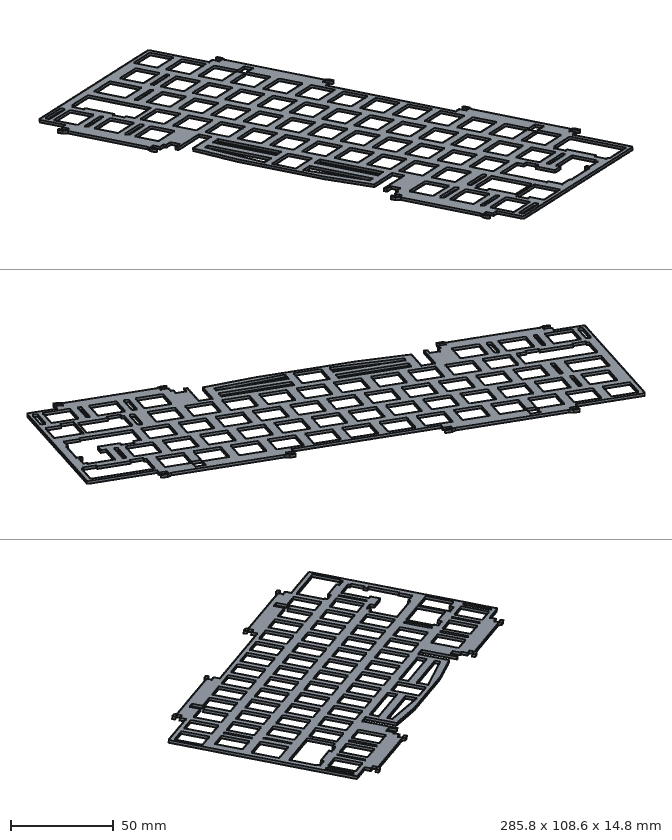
import cadquery as cq

WIDTH = 285.8
COLUMNS = 15
ROWS = 5
PITCH = WIDTH / COLUMNS
DEPTH = ROWS * PITCH
THICKNESS = 1.5
TILT = 7.0
PLATE_CORNER = 1.0

CUT = 14.0
CORNER = 0.5

KEY_RUNS = ((1, 0.5, 13), (2, 0.75, 1), (2, 2, 12), (3, 2.25, 11), (4, 2.75, 10))
BOTTOM_ROW_PLACES = (0.75, 2, 3.25)

SLOT_WIDTH = 1.7
SIDE_SLOT_PLACE = (0.75 + 2) / 2
CAPS_SLOT_PLACE = (0.875 + 2.25) / 2
END_SLOT_WIDTH = 2.5
END_SLOT_ROUNDING = 1.1
BOTTOM_END_SLOT_PLACES = (0.17, (2 + 3.25) / 2)
RIGHT_SHIFT_SLOT_PLACE = 12.55
LEFT_SHIFT_END = 1.75
LEFT_SHIFT_EXTENSION = 1.7

STABILIZER_OFFSET = 12.0
STABILIZER_WIDTH = 7.0
STABILIZER_DROP = 1.5
DEEP_STABILIZER_DROP = 2.0

ENTER_PLACE = 13.875
TALL_ENTER_PLACE = 14.25
ENTER_LEFT = 102.0
ENTER_STABILIZER_RISE = 2.3
ENTER_WIDE_RIGHT = 129.2
ENTER_THROAT = 124.3
ENTER_RIGHT_POCKET = 137.5
ENTER_RIGHT_POCKET_OFFSET = 12.0
ENTER_MIDDLE = 138.3
ENTER_MIDDLE_BACK = 16.3
ENTER_MIDDLE_FRONT = 1.0

TAB_SHOULDER = 3.1
TAB_RISE = 5.7
TAB_ROOT = 3.0
NECK_INSET = 4.0
BACK_TAB = (38.3, 107.2)
FRONT_TAB = (69.2, 127.2)

HOOK_BOTTOM = 5.5
HOOK_TOP = TAB_RISE + 1.3
HOOK_CREST = 3.1
HOOK_REACH = 5.5
HOOK_ROUNDING = 0.43

BACK_SLOT_PLACE = 3
BACK_SLOT_WIDTH = 5.1
BACK_SLOT_REACH = 3.0
BACK_SLOT_LENGTH = 7.0

STEP_OUTER = 67.7
STEP_INNER = 62.3
STEP_END = -43.7
NOTCH_OUTER = 60.5
NOTCH_INNER = 53.5
NOTCH_END = -29.7
TAPER_START = -45.5
MIDDLE_FLAT = 26.0

BAR_INNER = 11.5
BAR_OUTER = 48.5
BAR_BACK = -30.5
BAR_FRONT = -35.1
WEDGE_BACK = -39.5
WEDGE_FRONT_OUTER = -42.0
WEDGE_FRONT_INNER = -45.2


def column(place):
    """X of a place counted in key pitches from the left edge."""
    return place * PITCH - WIDTH / 2


def row(number):
    """Y of the middle of a key row, counted from 1 at the back."""
    return ((ROWS + 1) / 2 - number) * PITCH


def block(x0, x1, y0, y1):
    """Rectangular block as thick as the plate."""
    box = cq.Workplane("XY").box(x1 - x0, y1 - y0, THICKNESS)
    return box.translate(((x0 + x1) / 2, (y0 + y1) / 2, 0))


def prism(points):
    """Block as thick as the plate with the given outline."""
    bottom = cq.Workplane("XY").workplane(offset=-THICKNESS / 2)
    return bottom.polyline(points).close().extrude(THICKNESS)


def mirrored(shape):
    """The shape together with its mirror image in X."""
    return shape.union(shape.mirror("YZ"))



def hook():
    """Hook that starts at X = 0 and joins its tab on the +X side."""
    outline = [
        (0, HOOK_BOTTOM),
        (0, HOOK_TOP),
        (HOOK_CREST, HOOK_TOP),
        (HOOK_REACH, TAB_RISE),
        (HOOK_REACH, HOOK_BOTTOM),
    ]
    return prism(outline).edges("|Z and <X").fillet(HOOK_ROUNDING)


def tab(span):
    """Tab on the right half of the back edge."""
    x0, x1 = span
    edge = DEPTH / 2
    shoulder = block(x0, x1, edge - TAB_ROOT, edge + TAB_SHOULDER)
    neck = block(x0 + NECK_INSET, x1 - NECK_INSET, edge, edge + TAB_RISE)
    inner_hook = hook().translate((x0, edge, 0))
    outer_hook = hook().mirror("YZ").translate((x1, edge, 0))
    return shoulder.union(neck).union(inner_hook).union(outer_hook)


def base_plate():
    back = DEPTH / 2
    front = -back
    body = block(-WIDTH / 2, WIDTH / 2, front, back).edges("|Z").fillet(PLATE_CORNER)
    taper = prism([(MIDDLE_FLAT, front), (NOTCH_INNER, TAPER_START), (NOTCH_INNER, front)])
    notch = block(NOTCH_INNER, NOTCH_OUTER, front, NOTCH_END)
    step = block(STEP_INNER, STEP_OUTER, front, STEP_END)
    body = body.cut(mirrored(taper.union(notch))).cut(mirrored(step))
    return body.union(mirrored(tab(BACK_TAB))).union(mirrored(tab(FRONT_TAB).mirror("XZ")))



def opening(x0, x1, row_number, radius=CORNER):
    """Opening as tall as a switch, centred on a row."""
    y = row(row_number)
    return block(x0, x1, y - CUT / 2, y + CUT / 2).edges("|Z").fillet(radius)


def switch(first, row_number, last=None):
    """Switch opening, or one that spans every switch place from first to last."""
    end = first if last is None else last
    return opening(column(first) - CUT / 2, column(end) + CUT / 2, row_number)


def slot(place, row_number):
    x = column(place)
    return opening(x - SLOT_WIDTH / 2, x + SLOT_WIDTH / 2, row_number)


def end_slot(place, row_number):
    """Slot with nearly round ends."""
    x = column(place)
    return opening(x - END_SLOT_WIDTH / 2, x + END_SLOT_WIDTH / 2, row_number, END_SLOT_ROUNDING)


def stabilizer(place, row_number, drop=STABILIZER_DROP):
    """Pair of pockets that reach in front of the switch opening."""
    y = row(row_number)
    x = column(place)
    half = STABILIZER_WIDTH / 2
    pocket = block(x - half, x + half, y - CUT / 2 - drop, y + CUT / 2)
    left = pocket.translate((-STABILIZER_OFFSET, 0, 0))
    right = pocket.translate((STABILIZER_OFFSET, 0, 0))
    return left.union(right)


def left_shift():
    """Opening for the long and the short shift key, widened at its right end."""
    x = column(LEFT_SHIFT_END) + CUT / 2
    extension = opening(x - CORNER, x + LEFT_SHIFT_EXTENSION, 4)
    return switch(0.625, 4, LEFT_SHIFT_END).union(extension).union(stabilizer(1.125, 4))


def enter_key():
    """Joined opening for a wide and a tall enter key, with their stabilizer pockets."""
    half = STABILIZER_WIDTH / 2
    front = row(3) - CUT / 2
    wide_back = row(3) + CUT / 2
    tall_left = column(TALL_ENTER_PLACE) - CUT / 2
    tall_right = column(TALL_ENTER_PLACE) + CUT / 2
    middle = (row(2) + row(3)) / 2

    wide = block(ENTER_LEFT, ENTER_WIDE_RIGHT, front, wide_back)
    tall = block(ENTER_THROAT, tall_right, row(3), row(2))
    upper = block(tall_left, tall_right, row(2) - CUT / 2, row(2) + CUT / 2)
    spine = block(ENTER_THROAT, ENTER_MIDDLE, ENTER_MIDDLE_FRONT, ENTER_MIDDLE_BACK)
    shape = wide.union(tall).union(upper).union(spine)

    pocket_x = column(ENTER_PLACE) - STABILIZER_OFFSET
    shape = shape.union(block(pocket_x - half, pocket_x + half, row(3), wide_back + ENTER_STABILIZER_RISE))
    for side in (-1, 1):
        y = middle + side * ENTER_RIGHT_POCKET_OFFSET
        shape = shape.union(block(ENTER_THROAT, ENTER_RIGHT_POCKET, y - half, y + half))
    return shape


def space_bar_openings():
    bar = block(BAR_INNER, BAR_OUTER, BAR_FRONT, BAR_BACK)
    wedge = prism([
        (BAR_INNER, WEDGE_BACK),
        (BAR_OUTER, WEDGE_BACK),
        (BAR_OUTER, WEDGE_FRONT_OUTER),
        (BAR_INNER, WEDGE_FRONT_INNER),
    ])
    return mirrored(bar.union(wedge))


def back_slots():
    x = column(BACK_SLOT_PLACE)
    half = BACK_SLOT_WIDTH / 2
    end = DEPTH / 2 + BACK_SLOT_REACH
    return mirrored(block(x - half, x + half, end - BACK_SLOT_LENGTH, end))


def all_openings():
    cuts = []
    for number, first, count in KEY_RUNS:
        for i in range(count):
            cuts.append(switch(first + i, number))

    cuts += [switch(13.5, 1, 14.5), stabilizer(14, 1)]

    cuts += [mirrored(slot(SIDE_SLOT_PLACE, 2)), slot(CAPS_SLOT_PLACE, 3)]
    cuts += [switch(0.625, 3, 0.875), enter_key()]

    cuts += [left_shift(), end_slot(RIGHT_SHIFT_SLOT_PLACE, 4)]
    cuts += [switch(13.125, 4, 13.625), switch(14.5, 4), stabilizer(13.625, 4, DEEP_STABILIZER_DROP)]

    for place in BOTTOM_ROW_PLACES:
        cuts.append(mirrored(switch(place, 5)))
    for place in BOTTOM_END_SLOT_PLACES:
        cuts.append(mirrored(end_slot(place, 5)))
    cuts += [mirrored(slot(SIDE_SLOT_PLACE, 5)), switch(COLUMNS / 2, 5), space_bar_openings()]

    cuts.append(back_slots())
    return cuts


cutters = [cut.val() for cut in all_openings()]
plate = base_plate().val().cut(*cutters)

result = cq.Workplane(plate.Solids()[0]).rotate((0, 0, 0), (1, 0, 0), TILT)